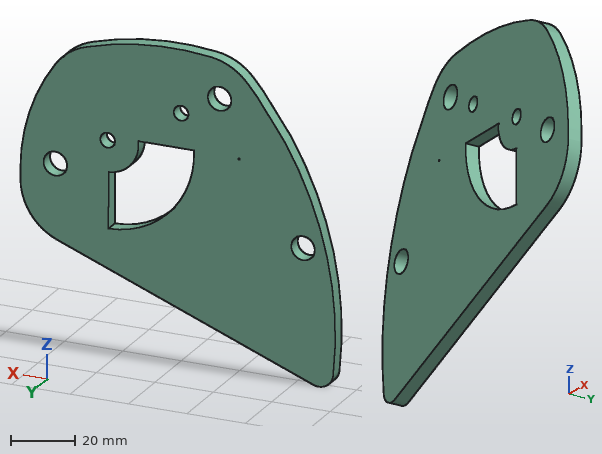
import cadquery as cq

thickness = 5.0
tilt_about_z = -0.1
tilt_about_x = 0.08

toe_left = (0.6, 4.7)
left_arc_end = (17.3, 80.3)
left_bend = (26.7, 93.8)
shoulder_left = (29.8, 97.5)
top_left = (43.0, 104.7)
top_right = (84.8, 101.1)
shoulder_right = (95.8, 93.6)
side_top = (107.8, 56.5)
side_bottom = (107.8, 52.9)
base_right = (95.4, 34.7)
toe_right = (7.2, 0.3)

left_radius = 120.1
top_radius = 99.9
side_radius = 63.0
corner_radius = 20.0
toe_radius = 5.0

mount_diameter = 8.0
mount_centers = [(39.6, 91.1), (95.8, 60.1), (11.0, 45.6)]
pivot_center = (77.9, 70.9)
pin_center = (52.8, 84.1)
pin_diameter = 5.0
mark_center = (32.9, 72.0)
mark_diameter = 0.4

window_outer_radius = 29.6
window_inner_radius = 10.6
window_top = 72.3
window_right = 77.6


def make_plate():
    """Plate with curved left, top and right sides and a sloping straight base."""
    return (
        cq.Workplane("XZ")
        .moveTo(*toe_left)
        .radiusArc(left_arc_end, left_radius)
        .lineTo(*left_bend)
        .lineTo(*shoulder_left)
        .radiusArc(top_left, corner_radius)
        .radiusArc(top_right, top_radius)
        .radiusArc(shoulder_right, corner_radius)
        .radiusArc(side_top, side_radius)
        .lineTo(*side_bottom)
        .radiusArc(base_right, corner_radius)
        .lineTo(*toe_right)
        .radiusArc(toe_left, toe_radius)
        .close()
        .extrude(-thickness)
    )


def make_holes(centers, diameter):
    return cq.Workplane("XZ").pushPoints(centers).circle(diameter / 2).extrude(-thickness)


def make_window():
    """Lower-left quarter of a ring, trimmed by the level and upright edges."""
    center_x, center_z = pivot_center
    left_limit = center_x - window_outer_radius
    bottom_limit = center_z - window_outer_radius
    ring = (
        cq.Workplane("XZ")
        .center(center_x, center_z)
        .circle(window_outer_radius)
        .circle(window_inner_radius)
        .extrude(-thickness)
    )
    trim = cq.Workplane("XY").box(
        window_right - left_limit, thickness, window_top - bottom_limit, centered=False
    )
    return ring.intersect(trim.translate((left_limit, 0, bottom_limit)))


plate = make_plate()
plate = plate.cut(make_holes(mount_centers, mount_diameter))
plate = plate.cut(make_holes([pivot_center, pin_center], pin_diameter))
plate = plate.cut(make_holes([mark_center], mark_diameter))
plate = plate.cut(make_window())

result = plate.rotate((0, 0, 0), (0, 0, 1), tilt_about_z).rotate((0, 0, 0), (1, 0, 0), tilt_about_x)